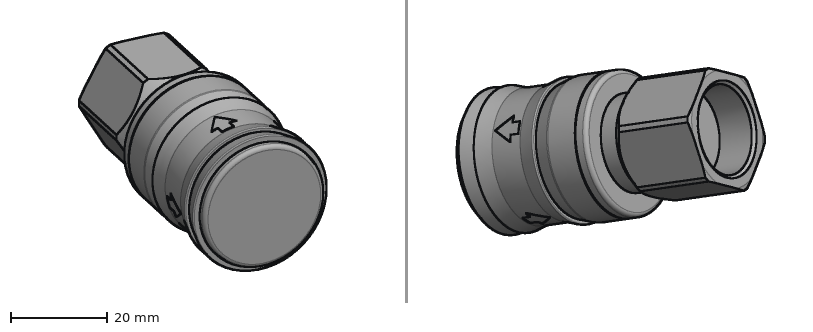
import cadquery as cq
import math

total_length = 60.0
outer_dia = 31.0
waist_dia = 29.0
shank_dia = 21.0
nose_dia = 28.0

collar_start = 24.9
collar_end = 27.7
seam_gap = 0.2
band_start = collar_end + seam_gap
band_crest = 35.05
grip_start = 38.7
grip_step = 54.1
nose_start = 58.0
band_crest_fillet = 1.4
end_fillet = 0.95

flare_angle = math.radians(15)
flare_slope = math.tan(flare_angle)
crest_fillet = 0.25
crest_height_lost = crest_fillet * ((1 + math.sin(flare_angle)) / math.cos(flare_angle) - 1)
sharp_crest_radius = outer_dia / 2 + crest_height_lost
flare_length = (sharp_crest_radius - waist_dia / 2) / flare_slope
waist_start = grip_start + flare_length
waist_end = grip_step - flare_length

hex_flats = 24.0
hex_corner_dia = 27.0
rear_face_dia = 24.85
rear_chamfer_length = 0.25
bore_dia = 19.1
bore_chamfer = 0.7
bore_depth = 9.0
hex_shoulder = 20.95
cone_start = hex_shoulder - (hex_corner_dia - shank_dia) / 2

arrow_depth = 0.05
arrow_length = 6.1
arrow_head_length = 4.15
arrow_head_width = 5.95
arrow_tail_width = 2.8
arrow_tilt = 13.0
arrow_count = 4
arrow_centre = (waist_start + waist_end) / 2


def revolved(points):
    """Revolve a closed outline of (x, radius) points about the X axis."""
    outline = cq.Workplane("XY").polyline(points).close()
    return outline.revolve(360, (0, 0, 0), (1, 0, 0))


def ring(x_start, x_end, outside):
    """Ring around the shank whose outer outline is the list `outside`."""
    shank_radius = shank_dia / 2
    return revolved([(x_start, shank_radius), *outside, (x_end, shank_radius)])


def circles_of_radius(body, radius):
    """Circular edges of the body that have the given radius."""
    tolerance = 0.0005
    return body.edges("%CIRCLE").filter(lambda edge: abs(edge.radius() - radius) < tolerance)


def make_adapter():
    """Hexagonal socket with a round shank that carries all the sleeves."""
    corner_radius = hex_corner_dia / 2
    shank_radius = shank_dia / 2
    envelope = revolved([
        (0, 0),
        (0, rear_face_dia / 2),
        (rear_chamfer_length, corner_radius),
        (cone_start, corner_radius),
        (hex_shoulder, shank_radius),
        (nose_start, shank_radius),
        (nose_start, 0),
    ])
    hexagon = cq.Workplane("YZ").polygon(6, hex_flats / math.cos(math.pi / 6)).extrude(nose_start)
    bore_radius = bore_dia / 2
    bore = revolved([
        (0, 0),
        (0, bore_radius + bore_chamfer),
        (bore_chamfer, bore_radius),
        (bore_depth, bore_radius),
        (bore_depth, 0),
    ])
    return envelope.intersect(hexagon).cut(bore)


def make_collar():
    """Short rear ring with a rounded rear edge."""
    radius = outer_dia / 2
    collar = ring(collar_start, collar_end, [(collar_start, radius), (collar_end, radius)])
    return circles_of_radius(collar.faces("<X"), radius).fillet(end_fillet)


def make_band():
    """Cylindrical ring that tapers down towards the grip sleeve."""
    radius = outer_dia / 2
    band = ring(band_start, grip_start, [
        (band_start, radius),
        (band_crest, radius),
        (grip_start, waist_dia / 2),
    ])
    taper = band.faces("%CONE")
    return circles_of_radius(taper, radius).fillet(band_crest_fillet)


def arrow_outline():
    """Arrow that points towards +X, centred on the origin."""
    tip = arrow_length / 2
    head_base = tip - arrow_head_length
    return (
        cq.Workplane("XY")
        .moveTo(tip, 0)
        .lineTo(head_base, arrow_head_width / 2)
        .lineTo(head_base, arrow_tail_width / 2)
        .lineTo(-tip, arrow_tail_width / 2)
        .lineTo(-tip, -arrow_tail_width / 2)
        .lineTo(head_base, -arrow_tail_width / 2)
        .lineTo(head_base, -arrow_head_width / 2)
        .close()
    )


def make_arrow_cutters():
    """Shallow curved arrows around the waist, pointing alternately to -X and +X."""
    waist_radius = waist_dia / 2
    core = cq.Workplane("YZ").circle(waist_radius - arrow_depth).extrude(total_length)
    cutters = []
    for index in range(arrow_count):
        facing = 180 if index % 2 == 0 else 0
        arrow = (
            arrow_outline()
            .extrude(waist_radius + arrow_depth)
            .rotate((0, 0, 0), (0, 0, 1), facing)
            .translate((arrow_centre, 0, 0))
            .cut(core)
            .rotate((0, 0, 0), (1, 0, 0), arrow_tilt + index * 360 / arrow_count)
        )
        cutters.append(arrow)
    return cutters


def make_grip():
    """Waisted grip sleeve with a second flared ring at its front."""
    waist_radius = waist_dia / 2
    front_flare_base = sharp_crest_radius - (nose_start - grip_step) * flare_slope
    grip = ring(grip_start, nose_start, [
        (grip_start, sharp_crest_radius),
        (waist_start, waist_radius),
        (waist_end, waist_radius),
        (grip_step, sharp_crest_radius),
        (grip_step, front_flare_base),
        (nose_start, sharp_crest_radius),
    ])
    grip = circles_of_radius(grip, sharp_crest_radius).fillet(crest_fillet)
    for cutter in make_arrow_cutters():
        grip = grip.cut(cutter)
    return grip


def make_nose():
    """Disc that closes the front end."""
    rear_face = cq.Workplane("YZ", origin=(nose_start, 0, 0))
    nose = rear_face.circle(nose_dia / 2).extrude(total_length - nose_start)
    return nose.faces(">X").edges().fillet(end_fillet)


adapter = make_adapter()
collar = make_collar()
band = make_band()
grip = make_grip()
nose = make_nose()

result = cq.Compound.makeCompound([
    adapter.val(),
    collar.val(),
    band.val(),
    grip.val(),
    nose.val(),
])